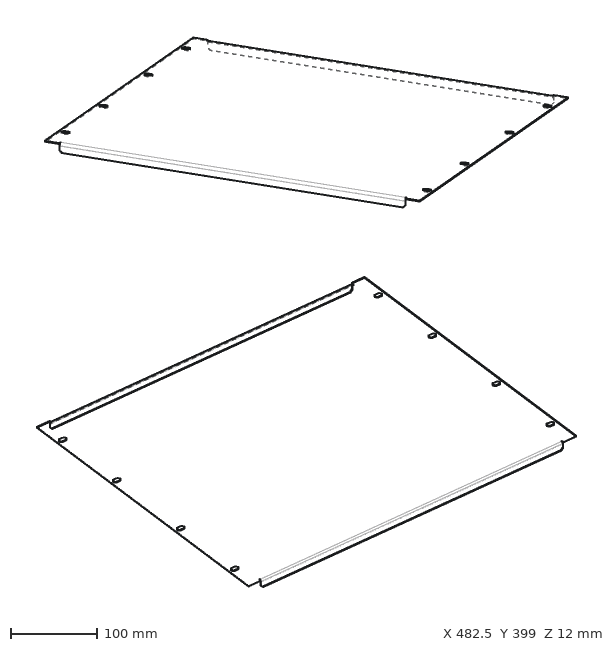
import cadquery as cq

panel_length = 482.5
panel_width = 399.0
panel_height = 12.0
sheet_thickness = 1.5

flange_end_inset = 19.0
flange_length = panel_length - 2 * flange_end_inset
bend_inner_radius = 2.0
bend_outer_radius = bend_inner_radius + sheet_thickness
flange_corner_chamfer = 3.0

slot_length = 10.0
slot_width = 6.8
slot_column_spacing = 465.0
slot_row_offsets = (60.5, 162.0)


def make_sheet():
    """Flat sheet with its top face at Z = 0."""
    return cq.Workplane("XY").box(
        panel_length, panel_width, sheet_thickness, centered=(True, True, False)
    ).translate((0, 0, -sheet_thickness))


def make_folded_channel():
    """Middle stretch of the panel, with both long edges folded down."""
    outer = (
        cq.Workplane("XY")
        .box(flange_length, panel_width, panel_height, centered=(True, True, False))
        .translate((0, 0, -panel_height))
        .edges("|X and >Z")
        .fillet(bend_outer_radius)
        .edges("|Y and <Z")
        .chamfer(flange_corner_chamfer)
    )
    inner = (
        cq.Workplane("XY")
        .box(
            flange_length,
            panel_width - 2 * sheet_thickness,
            panel_height - sheet_thickness,
            centered=(True, True, False),
        )
        .translate((0, 0, -panel_height))
        .edges("|X and >Z")
        .fillet(bend_inner_radius)
    )
    return outer.cut(inner)


def make_end_strips():
    """Flat unfolded strips at the two short ends of the panel."""
    middle = cq.Workplane("XY").box(flange_length, panel_width, 2 * panel_height)
    return make_sheet().cut(middle)


def make_slots():
    """Cutters for the mounting slots, mirrored about both centre lines."""
    slot_centers = [
        (x_side * slot_column_spacing / 2, y_side * row_offset)
        for x_side in (-1, 1)
        for y_side in (-1, 1)
        for row_offset in slot_row_offsets
    ]
    return (
        cq.Workplane("XY")
        .pushPoints(slot_centers)
        .slot2D(slot_length, slot_width)
        .extrude(-sheet_thickness)
    )


result = make_folded_channel().union(make_end_strips()).cut(make_slots())